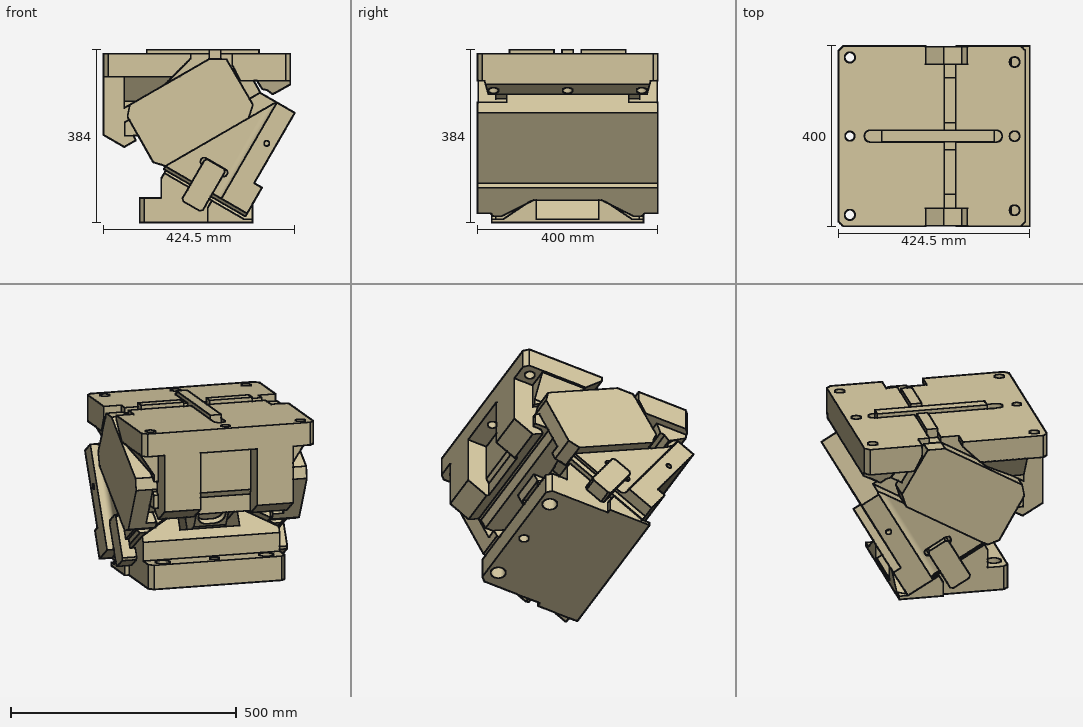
import cadquery as cq
import math


TILT = 30.0
COS = math.cos(math.radians(TILT))
SIN = math.sin(math.radians(TILT))
TAN = math.tan(math.radians(TILT))
FAR = 509.5
DRIVE_DIR = (COS, 0, -SIN)

half_width = 200.0
guide_half = 159.5
neck_half = 149.5
centre_half = 135.5

ledge_height = 40.0
guide_height = 76.0
flange_height = 169.0
side_plate_height = 197.0

roof_foot_half = 159.2
roof_foot_v = 162.5
ridge_half = 75.0
ridge_v = roof_foot_v + (roof_foot_half - ridge_half) * TAN

plate_length = 415.0
plate_top = 375.0
plate_bottom = 323.0
rear_bottom = 315.0
rear_start = 286.0
plate_chamfer = 10.5
leg_depth = 46.0
leg_back = 66.5
leg_slot_half = 66.0
leg_slot_back = 52.2
undercut_top, undercut_bottom = 221.0, 209.0
core_bottom, core_foot = 193.0, 173.2
flange_front = 47.0
flare_top_half = 195.7
flare_bottom = 269.0
flare_root = 212.5
notch_front = 193.5
key_top = 384.0
key_width = 25.0
key_slot_width = 26.5
key_slot_floor = plate_top - 12.0
long_slot_start, long_slot_end = 57.7, 363.0
long_key_start, long_key_end = 96.0, 345.0
cross_slot_x = 247.5
cross_key_inner, cross_key_outer = 30.0, 129.0
front_hole_x, rear_hole_x = 25.5, 390.5
front_hole_y, rear_hole_y = 174.5, 164.5
plate_hole_diameter = 22.5
dowel_hole_diameter = 20.5

slide_end_v = 423.5
slide_face_u = (424.5 - slide_end_v * SIN) / COS
slide_front_u = 35.2
shoulder_front_u = 56.5
foot_u = 266.0
foot_top_v = 243.5
slide_bottom_v = 177.0
strip_bottom_v = 169.5
strip_top_half, strip_bottom_half = 170.5, 164.7
web_half = 177.5
cheek_u = 200.0
cheek_fillet = 15.0
side_plate_half = 198.7
side_hole = (362.0, 176.0)
side_hole_diameter = 12.0
side_hole_depth = 21.2

stop_block_x = 119.5
block_half = 37.5
block_face = 40.5
block_bottom_v, block_end_u = 175.5, 110.5
spring_pocket_half, spring_pocket_height = 31.5, 33.5
spring_pocket_depth, spring_pocket_radius = 15.0, 23.5

bracket_start_u, bracket_end_u = 125.0, 177.0
bracket_bottom_v, bracket_top_v = 129.5, 237.0
bracket_half = 192.0
bracket_lip_top_v = 156.0
bracket_inner_half = 170.5
bracket_chamfer = 5.0
pocket_start_u, pocket_end_u = 117.5, 184.0
pocket_bottom_v, pocket_top_v = 221.0, 237.8
pocket_radius = 7.5

driver_front, driver_rear = 80.3, 330.8
driver_half = 159.0
driver_rear_half = 168.5
driver_rear_start = 231.0
ledge_top, wall_top = 55.0, 97.5
ledge_end = 128.0
driver_chamfer = 10.5
sole_thickness = 8.0
channel_half = 69.0
channel_floor_v = 171.0
bolt_hole_x = driver_front + 25.0
bolt_hole_y = 120.0
bolt_hole_diameter = 33.0
driver_dowel_diameter = 21.5


def downhill(u, v):
    """X, Z of a point u along the downward slope and v square to it."""
    return (u * COS + v * SIN, v * COS - u * SIN)


def uphill_z(x, height):
    """Z at x of the upward sloping plane lying at the given height."""
    return (height + x * SIN) / COS


def uphill_x(z, height):
    """X at z of the upward sloping plane lying at the given height."""
    return (z * COS - height) / SIN


def prism(points, y_low, y_high):
    """X-Z outline extruded from y_low to y_high."""
    return cq.Workplane("XZ").workplane(offset=-y_high).polyline(points).close().extrude(y_high - y_low)


def both_sides(solid):
    """A solid together with its mirror image across Y = 0."""
    return solid.union(solid.mirror("XZ"))


def slope_section(points, start_u, end_u):
    """Y-v outline extruded along the downward slope."""
    start = (start_u * DRIVE_DIR[0], 0, start_u * DRIVE_DIR[2])
    plane = cq.Plane(origin=start, xDir=(0, 1, 0), normal=DRIVE_DIR)
    return cq.Workplane(plane).polyline(points).close().extrude(end_u - start_u)


def uphill_band(low, high):
    """Full-length X-Z outline between two upward sloping planes."""
    return [(0, uphill_z(0, low)), (FAR, uphill_z(FAR, low)),
            (FAR, uphill_z(FAR, high)), (0, uphill_z(0, high))]


def slope_box(start_u, end_u, low_v, high_v, y_low, y_high):
    """Block square to the downward slope."""
    corners = [(start_u, low_v), (end_u, low_v), (end_u, high_v), (start_u, high_v)]
    return prism([downhill(u, v) for u, v in corners], y_low, y_high)


def vertical_holes(points, diameter):
    return cq.Workplane("XY").pushPoints(points).circle(diameter / 2).extrude(FAR)



def make_plate():
    plate = prism([(0, plate_bottom), (rear_start, plate_bottom), (rear_start, rear_bottom),
                   (plate_length, rear_bottom), (plate_length, plate_top), (0, plate_top)],
                  -half_width, half_width)
    corners = plate.edges("|Z and (<X or >X)")
    return corners.chamfer(plate_chamfer)


def make_leg():
    return prism([(0, plate_bottom), (0, 194.5), (46.3, 167.7), (72.0, 182.5), (leg_back, core_bottom),
                  (leg_back, plate_bottom)], -neck_half, neck_half)


def make_leg_slot():
    """Opening through the middle of the leg, with an undercut back wall."""
    return prism([(0, plate_bottom), (leg_depth, plate_bottom), (leg_depth, undercut_top),
                  (leg_slot_back, undercut_bottom), (leg_slot_back, 0), (0, 0)],
                 -leg_slot_half, leg_slot_half)


def make_holder_core():
    """Wedge between the plate and the sloping guide, with its wider hanging flange."""
    end_foot_x, end_top_x = 348.0, 333.5
    bottom = [(83.2, core_bottom), (94.5, core_foot), (uphill_x(core_foot, guide_height), core_foot),
              (end_foot_x, uphill_z(end_foot_x, guide_height)), (end_top_x, rear_bottom),
              (end_top_x, plate_bottom)]
    neck = prism([(leg_depth, plate_bottom), (leg_depth, core_bottom), *bottom], -neck_half, neck_half)
    flange = prism([(flange_front, uphill_z(flange_front, flange_height)), (flange_front, core_bottom),
                    *bottom, (uphill_x(plate_bottom, flange_height), plate_bottom)],
                   -guide_half, guide_half)
    return neck.union(flange)


def make_middle_foot():
    """Small foot at the front of the core, resting on the stop block's top."""
    top_x = stop_block_x - (core_foot - uphill_z(stop_block_x, guide_height)) * TAN
    return prism([(top_x, core_foot), (stop_block_x, uphill_z(stop_block_x, guide_height)),
                  (uphill_x(core_foot, guide_height), core_foot)], -block_half, block_half)


def make_flare():
    """Gusset spreading from the neck out to the plate edge, above the side plates."""
    section = [(guide_half, flare_root), (guide_half, flare_bottom), (flare_top_half, plate_bottom)]
    outline = section + [(-y, z) for y, z in reversed(section)]
    gusset = cq.Workplane("YZ").workplane(offset=leg_depth).polyline(outline).close().extrude(
        notch_front - leg_depth)
    above = prism([(0, uphill_z(0, side_plate_height)), (FAR, uphill_z(FAR, side_plate_height)), (0, FAR)],
                  -half_width, half_width)
    return gusset.intersect(above)


def make_rear_hook():
    """Pointed rib under the rear of the plate, narrowing downward."""
    top_half, low_half, low_z = 184.3, 176.0, 284.5
    rib = prism([(340.0, rear_bottom), (352.5, 296.0), (363.0, 294.0), (375.5, low_z), (plate_length, 306.5),
                 (plate_length, rear_bottom)], -half_width, half_width)
    taper = cq.Workplane("YZ").polyline([(-top_half, rear_bottom), (top_half, rear_bottom),
                                         (low_half, low_z), (-low_half, low_z)]).close().extrude(FAR)
    return rib.intersect(taper)


def make_side_notch():
    """Clearance above and around one side plate."""
    corner_x = 136.0
    outline = [(notch_front, plate_top), (notch_front, 364.0),
               (corner_x, uphill_z(corner_x, side_plate_height)),
               (0, uphill_z(0, side_plate_height)), (0, 0),
               (303.5, 0), (303.5, rear_bottom), (rear_start, 349.0), (rear_start, plate_top)]
    return prism(outline, guide_half, half_width)


def make_long_slot():
    length = long_slot_end - long_slot_start
    return (cq.Workplane("XY").workplane(offset=key_slot_floor)
            .center((long_slot_start + long_slot_end) / 2, 0)
            .slot2D(length, key_slot_width).extrude(key_top - key_slot_floor))


def make_block(x_low, x_high, y_low, y_high, z_low, z_high):
    return prism([(x_low, z_low), (x_high, z_low), (x_high, z_high), (x_low, z_high)], y_low, y_high)


def make_holder():
    holder = make_plate().union(make_leg()).union(make_holder_core()).cut(make_leg_slot())
    holder = holder.union(make_middle_foot()).union(make_flare()).union(make_rear_hook())
    holder = holder.cut(both_sides(make_side_notch()))
    holder = holder.cut(make_long_slot())
    half_slot, half_key = key_slot_width / 2, key_width / 2
    holder = holder.cut(make_block(cross_slot_x - half_slot, cross_slot_x + half_slot,
                                   -half_width, half_width, key_slot_floor, plate_top))
    holder = holder.union(make_block(long_key_start, long_key_end, -half_key, half_key,
                                     key_slot_floor, key_top))
    cross_key = make_block(cross_slot_x - half_key, cross_slot_x + half_key,
                           cross_key_inner, cross_key_outer, key_slot_floor, key_top)
    holder = holder.union(both_sides(cross_key))
    bolt_points = [(front_hole_x, -front_hole_y), (front_hole_x, front_hole_y),
                   (rear_hole_x, -rear_hole_y), (rear_hole_x, 0), (rear_hole_x, rear_hole_y)]
    holder = holder.cut(vertical_holes(bolt_points, plate_hole_diameter))
    return holder.cut(vertical_holes([(front_hole_x, 0)], dowel_hole_diameter))



def make_slide_core():
    """Raised middle and wider shoulders, shaped underneath to sit on the driver's roof."""
    def outline(front_u):
        corners = [(front_u, 0), (foot_u, 0), (foot_u, foot_top_v), (slide_face_u, foot_top_v),
                   (slide_face_u, slide_end_v), (front_u, slide_end_v)]
        return [downhill(u, v) for u, v in corners]

    below_guide = prism(uphill_band(-FAR, guide_height), -half_width, half_width)
    below_ledge = prism(uphill_band(-FAR, ledge_height), -half_width, half_width)
    middle = prism(outline(slide_front_u), -centre_half, centre_half).intersect(below_guide)
    shoulders = prism(outline(shoulder_front_u), -half_width, half_width).intersect(below_ledge)
    strip_inner = roof_foot_half - (strip_bottom_v - roof_foot_v) / TAN
    half = [(ridge_half, ridge_v), (strip_inner, strip_bottom_v), (strip_bottom_half, strip_bottom_v),
            (strip_top_half, slide_bottom_v), (half_width, slide_bottom_v), (half_width, FAR)]
    section = half + [(-y, v) for y, v in reversed(half)]
    return middle.union(shoulders).intersect(slope_section(section, 0, FAR))


def make_side_recess():
    """Material removed beside the recessed side, ending in a filleted step."""
    web, edge = web_half, half_width
    fillet_end = web + cheek_fillet
    middle = cheek_fillet * (1 - math.sqrt(0.5))
    plane = cq.Plane(origin=(0, 0, 0), xDir=DRIVE_DIR, normal=(SIN, 0, COS))
    profile = (cq.Workplane(plane).moveTo(0, -edge).lineTo(cheek_u, -edge).lineTo(cheek_u, -fillet_end)
               .threePointArc((cheek_u - middle, -web - middle), (cheek_u - cheek_fillet, -web))
               .lineTo(0, -web).close())
    return profile.extrude(FAR)


def make_side_plate():
    """Plate beside the holder, with lips above the holder flange and on the slide ledge."""
    ledge_front, ledge_rear, top = 137.5, 322.0, 362.0
    outline = [(58.5, uphill_z(58.5, side_plate_height)), (53.5, 235.0), (110.5, 133.8),
               (ledge_front, uphill_z(ledge_front, ledge_height)),
               (ledge_rear, uphill_z(ledge_rear, ledge_height)), (331.5, 261.5), (273.0, top),
               (uphill_x(top, side_plate_height), top)]
    plate = prism(outline, guide_half, side_plate_half)
    upper_band = prism(uphill_band(flange_height, side_plate_height), neck_half, guide_half)
    upper_lip = prism(outline, neck_half, guide_half).intersect(upper_band)
    under_plate = make_block(0, FAR, 0, half_width, 0, plate_bottom)
    upper_lip = upper_lip.intersect(under_plate)
    lower_band = prism(uphill_band(0, guide_height), centre_half, guide_half)
    lower_lip = prism(outline, centre_half, guide_half).intersect(lower_band)
    return plate.union(upper_lip).union(lower_lip)


def make_bracket():
    """Bar outside the slide, with a lip at its foot hooking in against the driver."""
    bar = slope_box(bracket_start_u, bracket_end_u, bracket_bottom_v, bracket_top_v,
                    driver_half, bracket_half)
    bar = bar.edges("|Y").chamfer(bracket_chamfer)
    above_lip = slope_box(bracket_start_u, bracket_end_u, bracket_lip_top_v, bracket_top_v,
                          driver_half, bracket_inner_half)
    return bar.cut(above_lip)


def make_bracket_pocket():
    pocket = slope_box(pocket_start_u, pocket_end_u, pocket_bottom_v, pocket_top_v,
                       bracket_inner_half, half_width)
    return pocket.edges("|Y").fillet(pocket_radius)


def make_stop_block():
    """Block hanging into the driver channel, with a round-cornered pocket in its front face."""
    face_top = (stop_block_x, uphill_z(stop_block_x, guide_height))
    face_bottom = (face_top[0] + SIN * block_face, face_top[1] - COS * block_face)
    root_x, root_v = 140.0, ridge_v + 8.5
    block = prism([face_top, face_bottom, downhill(block_end_u, block_bottom_v),
                   downhill(block_end_u, root_v), (root_x, uphill_z(root_x, guide_height))],
                  -block_half, block_half)
    plane = cq.Plane(origin=(face_top[0], 0, face_top[1]), xDir=(0, -1, 0), normal=(COS, 0, SIN))
    pocket = (cq.Workplane(plane).rect(2 * spring_pocket_half, 2 * spring_pocket_height)
              .extrude(spring_pocket_depth).edges(cq.selectors.ParallelDirSelector(plane.zDir))
              .fillet(spring_pocket_radius))
    return block.cut(pocket)


def make_slide():
    slide = make_slide_core().union(make_stop_block())
    slide = slide.cut(both_sides(make_side_recess()))
    slide = slide.cut(both_sides(make_bracket_pocket()))
    slide = slide.union(both_sides(make_side_plate())).union(both_sides(make_bracket()))
    hole = (cq.Workplane("XZ").workplane(offset=half_width - side_hole_depth)
            .center(*side_hole).circle(side_hole_diameter / 2).extrude(side_hole_depth))
    return slide.cut(both_sides(hole))



def make_roof():
    """Roof-shaped guide with a channel along its ridge."""
    half = [(channel_half, channel_floor_v), (channel_half, ridge_v), (ridge_half, ridge_v),
            (roof_foot_half, roof_foot_v), (half_width, roof_foot_v), (half_width, -FAR)]
    return slope_section([(-y, v) for y, v in half] + half[::-1], -FAR, FAR)


def make_driver():
    front_end_u = ledge_end * COS - wall_top * SIN
    outline = [(driver_front, 0), (driver_front, ledge_top), (ledge_end, ledge_top), (ledge_end, wall_top),
               downhill(front_end_u, FAR), (FAR, 0)]
    footprint = make_block(driver_front, driver_rear, -driver_half, driver_half, 0, FAR)
    footprint = footprint.edges("|Z and <X").chamfer(driver_chamfer)
    footprint = footprint.union(make_block(driver_rear_start, driver_rear, -driver_rear_half,
                                           driver_rear_half, 0, FAR))
    driver = prism(outline, -half_width, half_width).intersect(footprint).intersect(make_roof())
    sole = make_block(driver_front, driver_rear, -half_width, half_width, 0, sole_thickness)
    driver = driver.union(sole.intersect(footprint))
    bracket_clearance = slope_box(pocket_start_u, pocket_end_u, bracket_bottom_v, FAR,
                                  driver_half, half_width)
    driver = driver.cut(both_sides(bracket_clearance))
    bolt_points = [(bolt_hole_x, -bolt_hole_y), (bolt_hole_x, bolt_hole_y)]
    driver = driver.cut(vertical_holes(bolt_points, bolt_hole_diameter))
    return driver.cut(vertical_holes([(bolt_hole_x, 0)], driver_dowel_diameter))


holder = make_holder()
slide = make_slide()
driver = make_driver()

result = cq.Compound.makeCompound([body.solids().val() for body in (holder, slide, driver)])